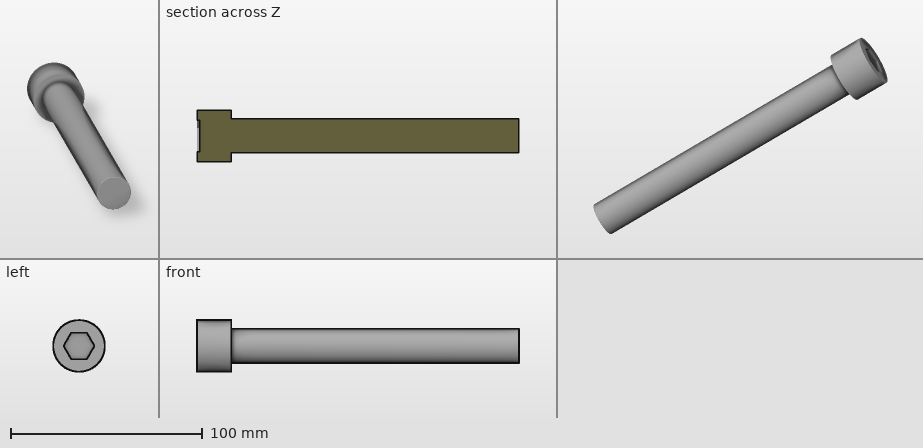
import cadquery as cq
import math

total_length = 168.0
head_diameter = 27.0
shank_diameter = 18.0
head_length = shank_diameter
tip_chamfer = 0.2
socket_across_flats = 14.0
socket_depth = 1.5


def make_head():
    return cq.Workplane("YZ").circle(head_diameter / 2).extrude(head_length)


def make_shank():
    shank = cq.Workplane("YZ").circle(shank_diameter / 2).extrude(total_length)
    return shank.faces(">X").chamfer(tip_chamfer)


def make_socket():
    across_corners = socket_across_flats / math.cos(math.radians(30))
    return cq.Workplane("YZ").polygon(6, across_corners).extrude(socket_depth)


result = make_head().union(make_shank()).cut(make_socket())